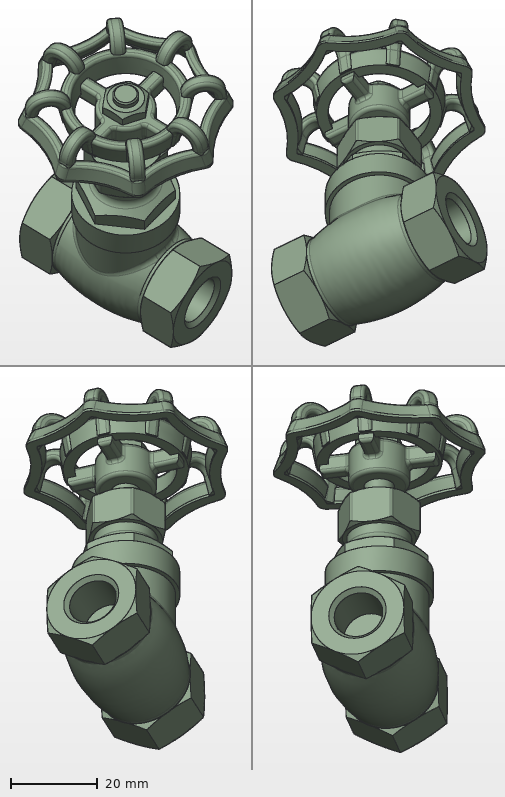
import cadquery as cq
import math


pipe_length = 45.0
end_hex_flats = 22.0
end_hex_length = 9.6
end_hex_chamfer = 0.75
bore_diameter = 11.5
bore_mouth_diameter = 13.6
bore_depth = 11.0

bulge_radius = 13.0
bulge_end_radius = 11.1
bulge_half_length = 12.1
neck_diameter = 23.0
neck_blend = 1.5

collar_diameter = 25.0
collar_bottom = 16.5
collar_top = 23.0

bonnet_flats = 20.0
bonnet_neck_diameter = 15.0
bonnet_blend = 2.0
bonnet_blend_top = 29.55
bonnet_slope = math.radians(30)

packing_flats = 17.0
packing_bottom = 32.0
packing_top = 40.95
packing_chamfer = 0.75
packing_corner_radius = 0.7

stem_diameter = 7.0
stem_tip_diameter = 6.0
stem_top = 59.5
stem_tip_chamfer = 0.4

wheel_nut_flats = 10.0
wheel_nut_height = 3.0
wheel_nut_chamfer = 1.0
wheel_nut_face_diameter = 8.7

hub_diameter = 14.1
hub_bottom = 46.0
hub_top = 55.0
hub_bottom_round = 1.0
hub_top_round = 0.9

rim_bottom = 52.1
rim_lip = 0.7
rim_top = 56.3
rim_reach = 25.0
rim_valley = 21.9
rim_lean = 1.3
rim_thickness = 2.55
rim_tip_radius = 2.25
rim_inner_tip_radius = 0.6
rim_round = 0.7

ring_bottom = 52.4
ring_top = 58.15
ring_bottom_radius = 11.8
ring_lean = 0.9
ring_thickness = 2.7
ring_round = 0.9

arm_count = 8
arm_width = 3.5
arm_round = 0.9
arm_inset = 0.15
arm_rim_inset = 0.5
arch_center_radius = 18.0
arch_outer_radius = 5.25
arch_thickness = 2.85
wheel_top = 62.05

spoke_count = 4
spoke_width = 3.5
spoke_bottom = 50.3
spoke_reach = 13.7
spoke_round = 0.9
spoke_blend = 0.9


def hex_prism(flats, height, chamfer, face_diameter, chamfer_bottom=True):
    """Hexagon standing on Z = 0, corners on X, its ends turned down to a round face."""
    corner = flats / math.sqrt(3)
    prism = cq.Workplane("XY").polygon(6, 2 * corner).extrude(height)
    outline = [(0, 0)]
    if chamfer_bottom:
        outline += [(face_diameter / 2, 0), (corner, chamfer)]
    else:
        outline += [(corner, 0)]
    outline += [(corner, height - chamfer), (face_diameter / 2, height), (0, height)]
    envelope = cq.Workplane("XZ").polyline(outline).close().revolve(360, (0, 0, 0), (0, 1, 0))
    return prism.intersect(envelope)


def make_body():
    """Bulged casting with the upright neck blended into it."""
    half = pipe_length / 2 - end_hex_length
    bulge = (
        cq.Workplane("XY")
        .moveTo(-half, 0)
        .lineTo(-half, bulge_end_radius)
        .lineTo(-bulge_half_length, bulge_end_radius)
        .threePointArc((0, bulge_radius), (bulge_half_length, bulge_end_radius))
        .lineTo(half, bulge_end_radius)
        .lineTo(half, 0)
        .close()
        .revolve(360, (0, 0, 0), (1, 0, 0))
    )
    neck = cq.Workplane("XY").circle(neck_diameter / 2).extrude(collar_bottom)
    body = bulge.union(neck)
    seam_zone = cq.selectors.BoxSelector(
        (-bulge_half_length, -neck_diameter, bulge_radius / 3),
        (bulge_half_length, neck_diameter, bulge_radius),
    )
    return body.edges(seam_zone).edges("not(|Z)").fillet(neck_blend)


def make_pipe_end():
    """Hexagonal pipe end on +X, corners up and down."""
    return (
        hex_prism(end_hex_flats, end_hex_length, end_hex_chamfer, end_hex_flats)
        .rotate((0, 0, 0), (0, 1, 0), 90)
        .translate((pipe_length / 2 - end_hex_length, 0, 0))
    )


def make_bore():
    """Blind bore at +X with a conical mouth."""
    mouth = pipe_length / 2
    bore_radius = bore_diameter / 2
    mouth_radius = bore_mouth_diameter / 2
    outline = [
        (mouth, 0),
        (mouth, mouth_radius),
        (mouth - (mouth_radius - bore_radius), bore_radius),
        (mouth - bore_depth, bore_radius),
        (mouth - bore_depth, 0),
    ]
    return cq.Workplane("XY").polyline(outline).close().revolve(360, (0, 0, 0), (1, 0, 0))


def make_bonnet():
    """Hexagon whose top slopes up into a round neck through a hollow blend."""
    corner = bonnet_flats / math.sqrt(3)
    neck_radius = bonnet_neck_diameter / 2

    def blend_point(turn):
        return (
            neck_radius + bonnet_blend * (1 - math.cos(turn)),
            bonnet_blend_top - bonnet_blend * math.sin(turn),
        )

    blend_turn = math.pi / 2 - bonnet_slope
    blend_end = blend_point(blend_turn)
    corner_height = blend_end[1] - (corner - blend_end[0]) * math.tan(bonnet_slope)
    envelope = (
        cq.Workplane("XZ")
        .moveTo(0, collar_top)
        .lineTo(corner, collar_top)
        .lineTo(corner, corner_height)
        .lineTo(*blend_end)
        .threePointArc(blend_point(blend_turn / 2), (neck_radius, bonnet_blend_top))
        .lineTo(neck_radius, packing_bottom)
        .lineTo(0, packing_bottom)
        .close()
        .revolve(360, (0, 0, 0), (0, 1, 0))
    )
    hexagon = (
        cq.Workplane("XY", origin=(0, 0, collar_top))
        .polygon(6, 2 * corner)
        .extrude(packing_bottom - collar_top)
        .rotate((0, 0, 0), (0, 0, 1), 90)
    )
    return hexagon.intersect(envelope)


def make_packing_nut():
    """Hexagon nut with corners on Y and slightly rounded upright edges."""
    return (
        hex_prism(packing_flats, packing_top - packing_bottom, packing_chamfer, packing_flats)
        .edges("|Z")
        .fillet(packing_corner_radius)
        .rotate((0, 0, 0), (0, 0, 1), 90)
        .translate((0, 0, packing_bottom))
    )


def cylinder(diameter, bottom, top):
    return cq.Workplane("XY", origin=(0, 0, bottom)).circle(diameter / 2).extrude(top - bottom)


def make_valve():
    """Body, bonnet, packing nut, stem and wheel nut as one solid."""
    pipe_end = make_pipe_end()
    bore = make_bore()
    stem_tip = cylinder(stem_tip_diameter, hub_bottom, stem_top).faces(">Z").chamfer(stem_tip_chamfer)
    wheel_nut = hex_prism(
        wheel_nut_flats, wheel_nut_height, wheel_nut_chamfer, wheel_nut_face_diameter, chamfer_bottom=False
    )
    return (
        make_body()
        .union(pipe_end)
        .union(pipe_end.mirror("YZ"))
        .union(cylinder(collar_diameter, collar_bottom, collar_top))
        .union(make_bonnet())
        .union(make_packing_nut())
        .union(cylinder(stem_diameter, packing_top, hub_bottom))
        .union(stem_tip)
        .union(wheel_nut.translate((0, 0, hub_top)))
        .cut(bore)
        .cut(bore.mirror("YZ"))
    )


def polar(radius, angle):
    return (radius * math.cos(angle), radius * math.sin(angle))


def star_outline(plane, tip_reach, valley_reach, tip_radius):
    """Closed wavy outline: round tips joined tangentially by hollow arcs."""
    half_pitch = math.pi / arm_count
    tip_center = tip_reach - tip_radius
    along = tip_center * math.cos(half_pitch)
    valley_radius = (
        tip_center**2 + valley_reach**2 - 2 * along * valley_reach - tip_radius**2
    ) / (2 * (tip_radius + along - valley_reach))
    valley_center = polar(valley_reach + valley_radius, half_pitch)
    share = tip_radius / (tip_radius + valley_radius)
    joint_x = tip_center + share * (valley_center[0] - tip_center)
    joint_y = share * valley_center[1]
    joint_reach = math.hypot(joint_x, joint_y)
    joint_angle = math.atan2(joint_y, joint_x)

    outline = plane.moveTo(*polar(joint_reach, -joint_angle))
    for i in range(arm_count):
        tip = 2 * half_pitch * i
        outline = outline.threePointArc(polar(tip_reach, tip), polar(joint_reach, tip + joint_angle))
        next_joint = tip + 2 * half_pitch - joint_angle
        outline = outline.threePointArc(polar(valley_reach, tip + half_pitch), polar(joint_reach, next_joint))
    return outline.close()


def star_block(inset, tip_radius):
    """Wavy block: an upright lip, then sides leaning inwards to the rim top."""
    tip_reach = rim_reach - inset
    valley_reach = rim_valley - inset
    lip_top = rim_bottom + rim_lip
    lip = star_outline(cq.Workplane("XY", origin=(0, 0, rim_bottom)), tip_reach, valley_reach, tip_radius)
    lean = star_outline(cq.Workplane("XY", origin=(0, 0, lip_top)), tip_reach, valley_reach, tip_radius)
    lean = star_outline(
        lean.workplane(offset=rim_top - lip_top), tip_reach - rim_lean, valley_reach - rim_lean, tip_radius
    )
    return lip.extrude(rim_lip).union(lean.loft(ruled=True))


def make_rim():
    outer = star_block(0, rim_tip_radius)
    inner = star_block(rim_thickness, rim_inner_tip_radius)
    return outer.cut(inner).faces(">Z").edges().fillet(rim_round)


def make_ring():
    """Round ring that opens out towards its top."""
    top_radius = ring_bottom_radius + ring_lean
    return (
        cq.Workplane("XZ")
        .polyline(
            [
                (ring_bottom_radius, ring_bottom),
                (ring_bottom_radius + ring_thickness, ring_bottom),
                (top_radius + ring_thickness, ring_top),
                (top_radius, ring_top),
            ]
        )
        .close()
        .revolve(360, (0, 0, 0), (0, 1, 0))
        .faces(">Z")
        .edges()
        .fillet(ring_round)
    )


def make_arm():
    """Arch on +X from the ring, over the top, down to the rim."""
    center_height = wheel_top - arch_outer_radius
    inner_radius = arch_outer_radius - arch_thickness
    ring_side = arch_center_radius - arch_outer_radius
    rim_side = arch_center_radius + arch_outer_radius
    hole_ring_side = arch_center_radius - inner_radius
    hole_rim_side = arch_center_radius + inner_radius
    ring_foot = ring_bottom_radius + arm_inset
    rim_foot = rim_reach - arm_rim_inset
    arch = (
        cq.Workplane("XZ", origin=(0, arm_width / 2, 0))
        .moveTo(ring_foot, ring_bottom + arm_inset)
        .lineTo(ring_side, center_height)
        .threePointArc((arch_center_radius, wheel_top), (rim_side, center_height))
        .lineTo(rim_foot, rim_bottom + arm_inset)
        .lineTo(rim_foot - arch_thickness, rim_bottom + arm_inset)
        .lineTo(hole_rim_side, center_height)
        .threePointArc((arch_center_radius, center_height + inner_radius), (hole_ring_side, center_height))
        .lineTo(ring_foot + arch_thickness, ring_bottom + arm_inset)
        .close()
        .extrude(arm_width)
    )
    return arch.faces("<Y or >Y").edges("not(<Z)").fillet(arm_round)


def make_spoke():
    """Spoke on +X from the hub axis to below the ring, flush with the hub top."""
    return (
        cq.Workplane("XY")
        .box(spoke_reach, spoke_width, hub_top - spoke_bottom, centered=(False, True, False))
        .translate((0, 0, spoke_bottom))
        .edges("(|X or >X) and <Z")
        .fillet(spoke_round)
    )


def make_spider():
    """Hub and spokes, blended where they meet and rounded around the top."""
    spider = cylinder(hub_diameter, hub_bottom, hub_top).faces("<Z").edges().fillet(hub_bottom_round)
    spoke = make_spoke()
    for i in range(spoke_count):
        spider = spider.union(spoke.rotate((0, 0, 0), (0, 0, 1), 360 / spoke_count * i))
    hub_zone = cq.selectors.BoxSelector(
        (-hub_diameter / 2, -hub_diameter / 2, spoke_bottom - spoke_round),
        (hub_diameter / 2, hub_diameter / 2, hub_top - spoke_round / 2),
    )
    joints = spider.edges(hub_zone).edges("not(|X or |Y)")
    return joints.fillet(spoke_blend).faces(">Z").edges().fillet(hub_top_round)


def make_handwheel():
    """Hub with spokes, inner ring, wavy rim and the arches between ring and rim."""
    wheel = make_spider().union(make_ring()).union(make_rim())
    arm = make_arm()
    for i in range(arm_count):
        wheel = wheel.union(arm.rotate((0, 0, 0), (0, 0, 1), 360 / arm_count * i))
    return wheel.cut(cylinder(stem_tip_diameter, hub_bottom, hub_top))


valve = make_valve()
handwheel = make_handwheel()

result = cq.Compound.makeCompound([valve.solids().val(), handwheel.solids().val()])